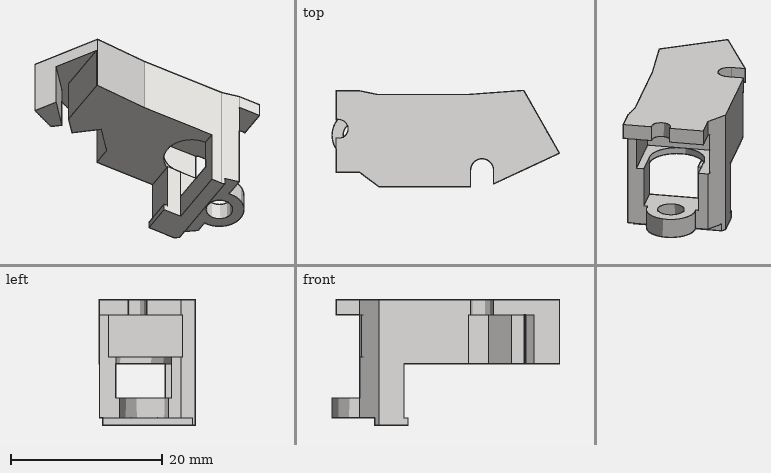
import cadquery as cq
import math

TOTAL_HEIGHT = 16.6
PLATE_THICKNESS = 2.0
PLATE_BOTTOM = TOTAL_HEIGHT - PLATE_THICKNESS
BODY_BOTTOM = 8.13
CHAMBER_BOTTOM = 9.0
FLOOR_TOP = 3.63
FOOT_HEIGHT = 1.0

APEX_X = 24.8
APEX_Y = 12.75
TIP_X = 29.53
TIP_Y = 4.43
BACK_LEFT_Y = 12.7
BACK_WALL_Y = 12.2
BACK_TAPER_START_X = 5.5
BACK_TAPER_END_X = 17.3
FRONT_CORNER_X = 5.65
FRONT_LEFT_Y = 1.9
NOSE_ANGLE = 25.0

FRONT_SLOT_X = 19.29
FRONT_SLOT_WIDTH = 3.0
FRONT_SLOT_DEPTH = 3.69
EDGE_NOTCH_X = 0.33
EDGE_NOTCH_Y = 7.66
EDGE_NOTCH_DIAMETER = 2.48

LEG_FRONT_X = 3.1
FLOOR_BACK_X = 7.0
FRONT_LEG_BACK_X = 8.98
FRONT_LEG_WIDTH = 4.01
FOOT_FRONT_X = 5.08
FOOT_LIP = 0.55

LUG_X = 2.7
LUG_Y = 6.8
LUG_RADIUS = 3.25
LUG_HOLE_DIAMETER = 3.51

CHAMBER_FRONT_Y = 1.72
CHAMBER_BACK_Y = 11.52
THROAT_FRONT_Y = 3.18
THROAT_BACK_Y = 10.53
THROAT_RADIUS = (THROAT_BACK_Y - THROAT_FRONT_Y) / 2
THROAT_END_X = FLOOR_BACK_X + THROAT_RADIUS

RECESS_ANGLE = 40.0
RECESS_CORNER_X = 23.16
RECESS_CORNER_Y = 3.2
RECESS_INNER_X = 20.14
FRONT_WALL_END_X = 17.5
BODY_END_X = 24.88
NOSE_BLOCK_X = 25.03
NOSE_BLOCK_Y = 3.79


def prism(points, bottom, top):
    """Upright prism over a closed plan outline."""
    return cq.Workplane("XY").workplane(offset=bottom).polyline(points).close().extrude(top - bottom)


def block(x_range, y_range, z_range):
    """Axis-aligned block between the given limits."""
    left, right = x_range
    front, back = y_range
    bottom, top = z_range
    return prism([(left, front), (right, front), (right, back), (left, back)], bottom, top)


def cylinder(x, y, radius, bottom, top):
    """Upright cylinder centred on (x, y)."""
    return cq.Workplane("XY").workplane(offset=bottom).center(x, y).circle(radius).extrude(top - bottom)


def crossing(point_a, angle_a, point_b, angle_b):
    """Point where two plan lines, each given by a point and an angle in degrees, cross."""
    ax, ay = math.cos(math.radians(angle_a)), math.sin(math.radians(angle_a))
    bx, by = math.cos(math.radians(angle_b)), math.sin(math.radians(angle_b))
    gap_x, gap_y = point_b[0] - point_a[0], point_b[1] - point_a[1]
    travel = (gap_x * by - gap_y * bx) / (ax * by - ay * bx)
    return (point_a[0] + travel * ax, point_a[1] + travel * ay)


TIP = (TIP_X, TIP_Y)
APEX = (APEX_X, APEX_Y)
END_ANGLE = math.degrees(math.atan2(APEX_Y - TIP_Y, APEX_X - TIP_X))
NOSE_START = crossing((0, 0), 0, TIP, NOSE_ANGLE)
BACK_EDGE = [(BACK_TAPER_END_X, BACK_WALL_Y), (BACK_TAPER_START_X, BACK_WALL_Y), (LEG_FRONT_X, BACK_LEFT_Y)]
FRONT_EDGE = [(LEG_FRONT_X, FRONT_LEFT_Y), (FRONT_CORNER_X, 0)]


def make_plate():
    """Top plate with a round-ended slot in its front edge and a round notch in its left edge."""
    outline = [(0, FRONT_LEFT_Y)] + FRONT_EDGE + [NOSE_START, TIP, APEX] + BACK_EDGE + [(0, BACK_LEFT_Y)]
    plate = prism(outline, PLATE_BOTTOM, TOTAL_HEIGHT)
    thickness = (PLATE_BOTTOM, TOTAL_HEIGHT)

    slot_radius = FRONT_SLOT_WIDTH / 2
    slot_center_y = FRONT_SLOT_DEPTH - slot_radius
    slot_sides = (FRONT_SLOT_X - slot_radius, FRONT_SLOT_X + slot_radius)
    plate = plate.cut(block(slot_sides, (0, slot_center_y), thickness))
    plate = plate.cut(cylinder(FRONT_SLOT_X, slot_center_y, slot_radius, *thickness))

    return plate.cut(cylinder(EDGE_NOTCH_X, EDGE_NOTCH_Y, EDGE_NOTCH_DIAMETER / 2, *thickness))


def make_body():
    """Deep body under the plate, ending at the turned recess."""
    corner = (RECESS_CORNER_X, RECESS_CORNER_Y)
    side_angle = 90 - RECESS_ANGLE
    inner_corner = crossing(corner, -RECESS_ANGLE, (RECESS_INNER_X, 0), 90)
    front_wall_inside = crossing(inner_corner, side_angle, (FRONT_WALL_END_X, 0), 90)
    channel_end = crossing(corner, side_angle, (BODY_END_X, 0), 90)
    end_top = crossing(TIP, END_ANGLE, (BODY_END_X, 0), 90)
    recess = [(FRONT_WALL_END_X, 0), front_wall_inside, inner_corner, corner, channel_end, end_top]
    return prism(FRONT_EDGE + recess + [APEX] + BACK_EDGE, BODY_BOTTOM, PLATE_BOTTOM)


def make_nose_block():
    """Separate block hanging under the tip, across a channel from the body."""
    corner = (NOSE_BLOCK_X, NOSE_BLOCK_Y)
    front = crossing(corner, -RECESS_ANGLE, TIP, NOSE_ANGLE)
    back = crossing(corner, 90 - RECESS_ANGLE, TIP, END_ANGLE)
    return prism([corner, front, TIP, back], BODY_BOTTOM, PLATE_BOTTOM)


def base_outline(front_leg_back_x):
    """Plan of the legs: a full-width part with the front leg reaching further back."""
    return FRONT_EDGE + [
        (front_leg_back_x, 0),
        (front_leg_back_x, FRONT_LEG_WIDTH),
        (FLOOR_BACK_X, FRONT_LEG_WIDTH),
        (FLOOR_BACK_X, BACK_WALL_Y),
    ] + BACK_EDGE[1:]


def make_base():
    """Legs below the body, solid here; the throat is cut out of them afterwards."""
    return prism(base_outline(FRONT_LEG_BACK_X), FOOT_HEIGHT, BODY_BOTTOM)


def make_foot():
    """Thin step under the legs, set back at the front and lipped behind the front leg."""
    lip_back_x = FRONT_LEG_BACK_X + FOOT_LIP
    foot = prism(base_outline(lip_back_x), 0, FOOT_HEIGHT)
    return foot.cut(block((0, FOOT_FRONT_X), (0, APEX_Y), (0, FOOT_HEIGHT)))


def cut_chamber(part):
    """Wide chamber under the plate, and below it a narrower round-ended throat."""
    chamber_sides = (CHAMBER_FRONT_Y, CHAMBER_BACK_Y)
    chamber = block((LEG_FRONT_X, THROAT_END_X), chamber_sides, (CHAMBER_BOTTOM, PLATE_BOTTOM))
    throat_sides = (THROAT_FRONT_Y, THROAT_BACK_Y)
    leg_gap = block((LEG_FRONT_X, FLOOR_BACK_X), throat_sides, (FLOOR_TOP, CHAMBER_BOTTOM))
    throat_center_y = THROAT_FRONT_Y + THROAT_RADIUS
    round_end = cylinder(FLOOR_BACK_X, throat_center_y, THROAT_RADIUS, BODY_BOTTOM, CHAMBER_BOTTOM)
    return part.cut(chamber).cut(leg_gap).cut(round_end)


def add_lug(part):
    """Pierced round lug standing out in front of the floor."""
    lug = cylinder(LUG_X, LUG_Y, LUG_RADIUS, FOOT_HEIGHT, FLOOR_TOP)
    hole = cylinder(LUG_X, LUG_Y, LUG_HOLE_DIAMETER / 2, FOOT_HEIGHT, FLOOR_TOP)
    return part.union(lug).cut(hole)


part = make_body().union(make_base()).union(make_foot())
part = cut_chamber(part)
part = part.union(make_plate()).union(make_nose_block())
result = add_lug(part)